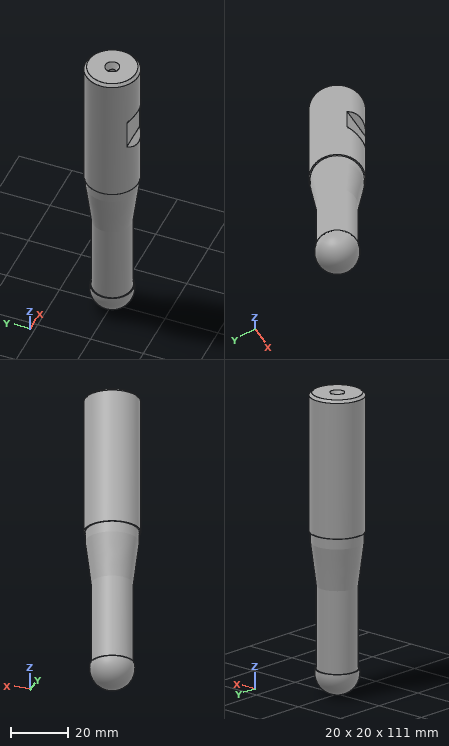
import cadquery as cq
import math

total_length = 111.0

ball_diameter = 16.0
ball_radius = ball_diameter / 2
tip_length = 9.5

shank_radius = 20.0 / 2
collar_radius = 19.0 / 2
neck_radius = 14.9 / 2
taper_bottom_z = 40.1
collar_bottom_z = 56.1
shank_bottom_z = 60.1

chamfer_size = 1.0

flat_depth = 2.0
flat_length = 10.9
flat_center_z = 86.6

center_drill_radius = 2.5 / 2
countersink_radius = 5.2 / 2
countersink_half_angle = math.radians(30)
center_drill_length = 2.8
drill_point_half_angle = math.radians(60)


def revolve_profile(profile):
    """Revolve a closed XZ profile about the Z axis."""
    return profile.close().revolve(360, (0, 0, 0), (0, 1, 0))


def make_shank_blank():
    return revolve_profile(
        cq.Workplane("XZ")
        .moveTo(0, tip_length)
        .lineTo(neck_radius, tip_length)
        .lineTo(neck_radius, taper_bottom_z)
        .lineTo(collar_radius, collar_bottom_z)
        .lineTo(collar_radius, shank_bottom_z)
        .lineTo(shank_radius, shank_bottom_z)
        .lineTo(shank_radius, total_length - chamfer_size)
        .lineTo(shank_radius - chamfer_size, total_length)
        .lineTo(0, total_length)
    )


def make_clamping_flat_cutter():
    """Trapezoidal notch, extruded across the whole shank width."""
    half_floor = flat_length / 2
    half_mouth = half_floor + flat_depth
    mouth_y = -shank_radius
    floor_y = mouth_y + flat_depth
    return (
        cq.Workplane("YZ")
        .moveTo(floor_y, flat_center_z - half_floor)
        .lineTo(floor_y, flat_center_z + half_floor)
        .lineTo(mouth_y, flat_center_z + half_mouth)
        .lineTo(mouth_y, flat_center_z - half_mouth)
        .close()
        .extrude(shank_radius, both=True)
    )


def make_center_hole_cutter():
    """Countersink, straight drill and conical drill point."""
    countersink_depth = (countersink_radius - center_drill_radius) / math.tan(countersink_half_angle)
    countersink_bottom_z = total_length - countersink_depth
    drill_bottom_z = countersink_bottom_z - center_drill_length
    point_depth = center_drill_radius / math.tan(drill_point_half_angle)
    return revolve_profile(
        cq.Workplane("XZ")
        .moveTo(0, total_length)
        .lineTo(countersink_radius, total_length)
        .lineTo(center_drill_radius, countersink_bottom_z)
        .lineTo(center_drill_radius, drill_bottom_z)
        .lineTo(0, drill_bottom_z - point_depth)
    )


def make_shank():
    return make_shank_blank().cut(make_clamping_flat_cutter()).cut(make_center_hole_cutter())


def make_ball_tip():
    """Ball cut off flat, just above its equator, by the end face of the neck."""
    cut_radius = math.sqrt(ball_radius**2 - (tip_length - ball_radius) ** 2)
    return revolve_profile(
        cq.Workplane("XZ")
        .moveTo(0, 0)
        .threePointArc((ball_radius, ball_radius), (cut_radius, tip_length))
        .lineTo(0, tip_length)
    )


shank = make_shank()
ball_tip = make_ball_tip()

result = cq.Compound.makeCompound([shank.val(), ball_tip.val()])